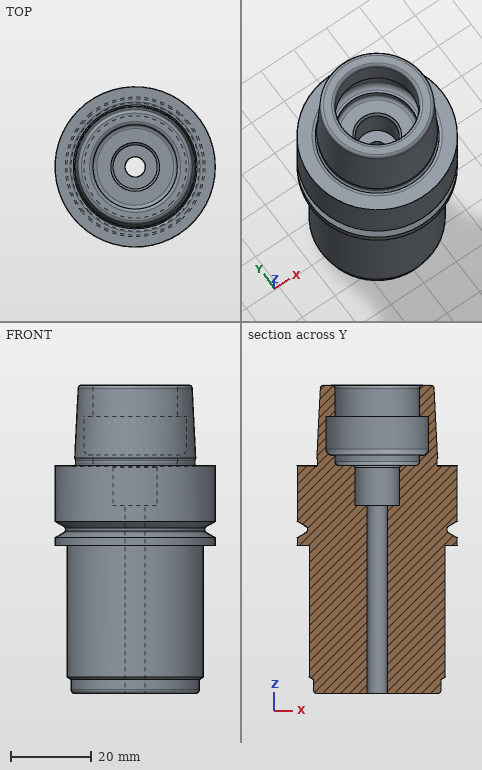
import cadquery as cq
import math

total_height = 76.9

body_radius = 34.0 / 2
foot_radius = 32.0 / 2
foot_round = 1.0
foot_height = 3.5

collar_radius = 40.0 / 2
collar_bottom = 36.9
collar_top = 56.8
groove_root_radius = 34.8 / 2
groove_middle = 40.9
groove_mouth = 4.1
groove_root_round = 0.4
flank_angle = math.radians(30)

neck_radius = 14.9
neck_top = 58.1
neck_round = 0.7
relief_radius = 16.2
relief_angle = math.radians(15)

gauge_radius = 30.0 / 2
gauge_height = 60.9
taper_bottom = 58.75
taper_slope = 1 / 20
tip_round = 0.85

bore_radius = 21.0 / 2
bore_mouth_round = 0.85
bore_depth = 20.0
bore_floor = total_height - bore_depth
bore_floor_round = 0.9
undercut_radius = 25.5 / 2
undercut_top = 69.05
undercut_bottom = 59.45
undercut_round = 1.5

socket_radius = 11.0 / 2
socket_mouth_radius = 12.15 / 2
socket_depth = 10.0
through_radius = 5.0 / 2

narrowest = cq.selectors.RadiusNthSelector(0)


def cylinder(radius, bottom, top):
    """Cylinder on the Z axis between two heights."""
    return cq.Workplane("XY").workplane(offset=bottom).circle(radius).extrude(top - bottom)


def turned(profile):
    """Solid made by turning a closed half profile about the Z axis."""
    return profile.revolve(360, (0, 0), (0, 1))


def body():
    """Body and foot, joined by a sloped step."""
    step_height = (body_radius - foot_radius) * math.tan(flank_angle)
    foot = cylinder(foot_radius, 0, foot_height).faces("<Z").edges().fillet(foot_round)
    upper = turned(
        cq.Workplane("XZ")
        .moveTo(0, foot_height)
        .lineTo(foot_radius, foot_height)
        .lineTo(body_radius, foot_height + step_height)
        .lineTo(body_radius, collar_bottom)
        .lineTo(0, collar_bottom)
        .close()
    )
    return foot.union(upper)


def collar_groove():
    """Ring removed from the collar: sloped flanks and a narrow rounded root."""
    flank_height = (collar_radius - groove_root_radius) * math.tan(flank_angle)
    half_mouth = groove_mouth / 2
    half_root = half_mouth - flank_height
    ring = turned(
        cq.Workplane("XZ")
        .moveTo(collar_radius, groove_middle - half_mouth)
        .lineTo(groove_root_radius, groove_middle - half_root)
        .lineTo(groove_root_radius, groove_middle + half_root)
        .lineTo(collar_radius, groove_middle + half_mouth)
        .close()
    )
    return ring.edges("%CIRCLE").edges(narrowest).fillet(groove_root_round)


def taper_radius(height):
    """Radius of the taper at a given height."""
    return gauge_radius - taper_slope * (height - gauge_height)


def collar_and_shank():
    """Collar, relieved neck and taper, before the groove and the bore are cut."""
    turn = math.pi / 2 - relief_angle
    relief_start_radius = neck_radius + neck_round * (1 - math.cos(turn))
    relief_start = collar_top - (relief_radius - relief_start_radius) * math.tan(relief_angle)
    neck_bottom = relief_start + neck_round * math.sin(turn)

    shank = turned(
        cq.Workplane("XZ")
        .moveTo(0, collar_bottom)
        .lineTo(collar_radius, collar_bottom)
        .lineTo(collar_radius, collar_top)
        .lineTo(relief_radius, collar_top)
        .lineTo(relief_start_radius, relief_start)
        .threePointArc(
            (
                neck_radius + neck_round * (1 - math.cos(turn / 2)),
                neck_bottom - neck_round * math.sin(turn / 2),
            ),
            (neck_radius, neck_bottom),
        )
        .lineTo(neck_radius, neck_top)
        .lineTo(taper_radius(taper_bottom), taper_bottom)
        .lineTo(taper_radius(total_height), total_height)
        .lineTo(0, total_height)
        .close()
    )
    return shank.faces(">Z").edges().fillet(tip_round)


def bore():
    """Round-floored bore and the wider clamping undercut inside it."""
    main = cylinder(bore_radius, bore_floor, total_height).faces("<Z").edges().fillet(bore_floor_round)
    undercut = cylinder(undercut_radius, undercut_bottom, undercut_top)
    return main.union(undercut.faces("<Z").edges().fillet(undercut_round))


def floor_holes():
    """Countersunk socket in the bore floor and the small hole through the part."""
    countersink = socket_mouth_radius - socket_radius
    socket = turned(
        cq.Workplane("XZ")
        .moveTo(0, bore_floor - socket_depth)
        .lineTo(socket_radius, bore_floor - socket_depth)
        .lineTo(socket_radius, bore_floor - countersink)
        .lineTo(socket_mouth_radius, bore_floor)
        .lineTo(0, bore_floor)
        .close()
    )
    return socket.union(cylinder(through_radius, 0, bore_floor))


holder = body().union(collar_and_shank()).cut(collar_groove()).cut(bore())
holder = holder.faces(">Z").edges(narrowest).fillet(bore_mouth_round)
result = holder.cut(floor_holes())